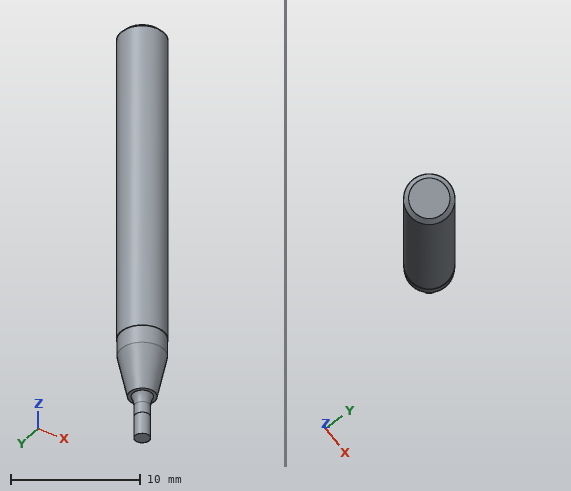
import cadquery as cq
import math

total_length = 38.0
cutting_length = 2.0
neck_end = 3.0
cone_bottom = 3.92
cone_top = 7.7
shank_bottom = 9.3

cutting_diameter = 1.3
neck_diameter = cutting_diameter
collar_diameter = 3.92
shank_diameter = 4.0

flare_radius = 2.0
cone_half_angle = math.radians(12)
shank_chamfer = 0.4


def make_cutting_tip():
    """Plain cylinder that stands for the cutting length."""
    return cq.Workplane("XY").circle(cutting_diameter / 2).extrude(cutting_length)


def flare_point(angle):
    """Point on the flare arc, which leaves the neck tangentially at angle zero."""
    radius = neck_diameter / 2 + flare_radius * (1 - math.cos(angle))
    height = neck_end + flare_radius * math.sin(angle)
    return (radius, height)


def make_holder():
    """Neck, flare, cone, collar and chamfered shank, turned about Z."""
    neck_radius = neck_diameter / 2
    collar_radius = collar_diameter / 2
    shank_radius = shank_diameter / 2
    cone_bottom_radius = collar_radius - (cone_top - cone_bottom) * math.tan(cone_half_angle)
    flare_angle = math.asin((cone_bottom - neck_end) / flare_radius)

    profile = (
        cq.Workplane("XZ")
        .moveTo(0, cutting_length)
        .lineTo(neck_radius, cutting_length)
        .lineTo(neck_radius, neck_end)
        .threePointArc(flare_point(flare_angle / 2), flare_point(flare_angle))
        .lineTo(cone_bottom_radius, cone_bottom)
        .lineTo(collar_radius, cone_top)
        .lineTo(collar_radius, shank_bottom)
        .lineTo(shank_radius, shank_bottom)
        .lineTo(shank_radius, total_length - shank_chamfer)
        .lineTo(shank_radius - shank_chamfer, total_length)
        .lineTo(0, total_length)
        .close()
    )
    return profile.revolve(360, (0, 0, 0), (0, 1, 0))


cutting_tip = make_cutting_tip()
holder = make_holder()

result = cq.Compound.makeCompound([cutting_tip.val(), holder.val()])